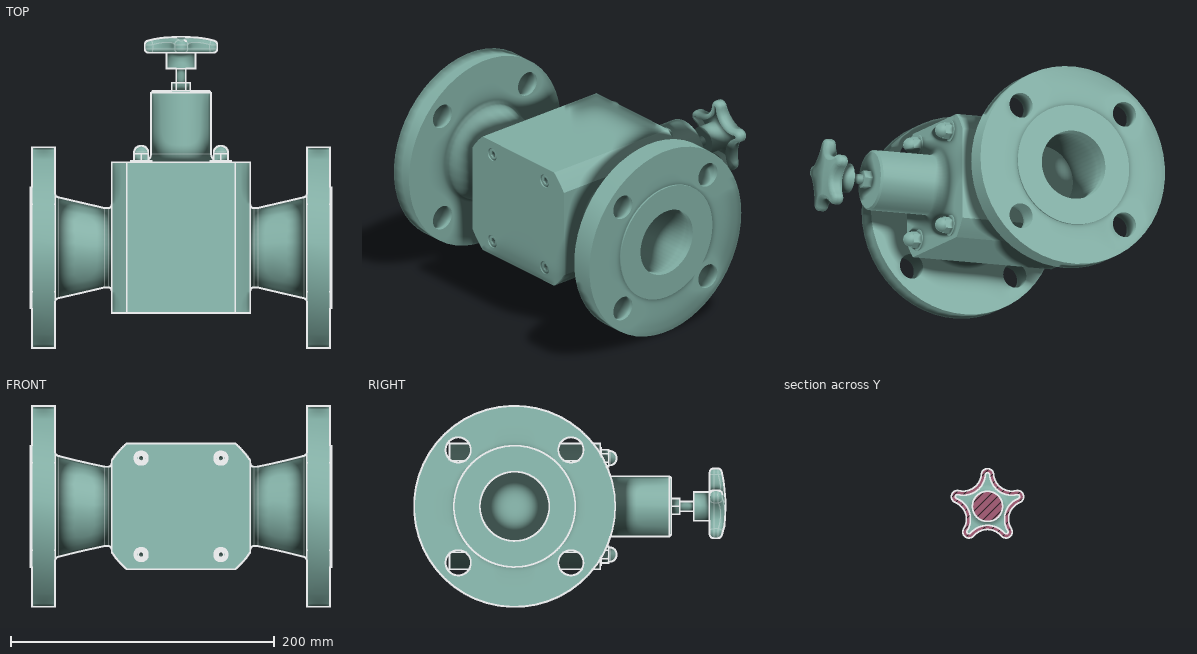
import cadquery as cq
import math


BODY_WIDTH = 105.2
BODY_HEIGHT = 95.25
BODY_CORNER_DIAMETER = 126.0
BODY_FRONT_Y = -49.4
BODY_BACK_Y = 64.9

FACE_TO_FACE = 228.6
FLANGE_DIAMETER = 152.4
FLANGE_TOTAL_THICKNESS = 19.05
RAISED_FACE_DIAMETER = 91.95
RAISED_FACE_HEIGHT = 1.5
BORE_DIAMETER = 52.5
PIPE_DIAMETER = 60.33
TAPER_BASE_DIAMETER = 77.7
TAPER_LENGTH = 37.3
PIPE_FILLET = 2.3
BOLT_CIRCLE_DIAMETER = 120.65
BOLT_HOLE_DIAMETER = 19.05
BOLT_HOLE_COUNT = 4

BONNET_DIAMETER = 45.72
BONNET_END_Y = 118.7
BONNET_CHAMFER = 1.5
BONNET_FILLET = 6.35
GLAND_NUT_FLATS = 12.2
GLAND_NUT_HEIGHT = 6.4
STEM_DIAMETER = 7.44
WHEEL_HUB_DIAMETER = 22.1
WHEEL_HUB_START_Y = 135.6

WHEEL_START_Y = 147.5
WHEEL_END_Y = 159.96
WHEEL_LOBES = 5
LOBE_CENTRE_RADIUS = 23.9
LOBE_RADIUS = 4.9
VALLEY_RADIUS = 17.7
WHEEL_CROWN_DROP = 3.8
WHEEL_LOWER_FILLET = 3.3
WHEEL_UPPER_FILLET = 3.3
RIM_WALL = 3.5
CAVITY_DEPTH = 5.5
HUB_FLARE = 5.0

SCREW_X = 30.16
SCREW_Z = 36.5
COUNTERBORE_DIAMETER = 10.3
HEAD_DIAMETER = 9.53
HEAD_FACE_DIAMETER = 7.44
HEAD_CHAMFER_HEIGHT = 0.6
HEAD_RECESS = 0.8
SOCKET_FLATS = 4.76
SOCKET_DEPTH = 3.0
SOCKET_DRILL_DIAMETER = 4.45
SOCKET_DRILL_TIP = 2.0
WASHER_DIAMETER = 15.88
WASHER_THICKNESS = 0.8
NUT_FLATS = 11.11
NUT_TOP_ABOVE_BODY = 6.2
NUT_COLLAR_HEIGHT = 1.4
DOME_HEIGHT = 4.8


def disc(y, diameter, height):
    """Cylinder along +Y starting at the given Y."""
    return cq.Workplane("XZ", origin=(0, y, 0)).circle(diameter / 2).extrude(-height)


def hexagon(y, flats, height):
    """Hexagonal prism along +Y, two of its corners on the X axis."""
    corners = flats / math.cos(math.pi / 6)
    return cq.Workplane("XZ", origin=(0, y, 0)).polygon(6, corners).extrude(-height)


def turned_hexagon(y, flats, height):
    """Hexagonal prism along +Y, two of its corners on the Z axis."""
    return hexagon(y, flats, height).rotate((0, 0, 0), (0, 1, 0), 90)


def at_screws(shape):
    """The shape repeated at the four screw positions."""
    copies = cq.Workplane("XY")
    for x in (-SCREW_X, SCREW_X):
        for z in (-SCREW_Z, SCREW_Z):
            copies = copies.add(shape.translate((x, 0, z)))
    return copies.combine()


def make_body():
    length = BODY_BACK_Y - BODY_FRONT_Y
    block = cq.Workplane("XZ", origin=(0, BODY_FRONT_Y, 0)).rect(BODY_WIDTH, BODY_HEIGHT).extrude(-length)
    return block.intersect(disc(BODY_FRONT_Y, BODY_CORNER_DIAMETER, length))


def make_pipe_end():
    """Weld-neck flange on the -X side, turned about the X axis."""
    face_x = -FACE_TO_FACE / 2
    rim_x = face_x + RAISED_FACE_HEIGHT
    flange_x = face_x + FLANGE_TOTAL_THICKNESS
    neck_x = flange_x + TAPER_LENGTH
    body_x = -BODY_WIDTH / 2
    pipe_radius = PIPE_DIAMETER / 2
    taper_radius = TAPER_BASE_DIAMETER / 2
    taper_slope = (taper_radius - pipe_radius) / TAPER_LENGTH
    profile = (
        cq.Workplane("XY")
        .moveTo(face_x, 0)
        .lineTo(face_x, RAISED_FACE_DIAMETER / 2)
        .lineTo(rim_x, RAISED_FACE_DIAMETER / 2)
        .lineTo(rim_x, FLANGE_DIAMETER / 2)
        .lineTo(flange_x, FLANGE_DIAMETER / 2)
        .lineTo(flange_x, taper_radius + PIPE_FILLET)
        .tangentArcPoint((flange_x + PIPE_FILLET, taper_radius - taper_slope * PIPE_FILLET), relative=False)
        .lineTo(neck_x, pipe_radius)
        .lineTo(body_x - PIPE_FILLET, pipe_radius)
        .tangentArcPoint((body_x, pipe_radius + PIPE_FILLET), relative=False)
        .lineTo(body_x, 0)
        .close()
    )
    end = profile.revolve(360, (0, 0, 0), (1, 0, 0))
    bolt_holes = (
        cq.Workplane("YZ", origin=(face_x, 0, 0))
        .polarArray(BOLT_CIRCLE_DIAMETER / 2, 180 / BOLT_HOLE_COUNT, 360, BOLT_HOLE_COUNT)
        .circle(BOLT_HOLE_DIAMETER / 2)
        .extrude(FLANGE_TOTAL_THICKNESS)
    )
    bore = cq.Workplane("YZ", origin=(face_x, 0, 0)).circle(BORE_DIAMETER / 2).extrude(body_x - face_x)
    return end.cut(bolt_holes).cut(bore)


def make_bonnet():
    radius = BONNET_DIAMETER / 2
    profile = (
        cq.Workplane("XY")
        .moveTo(0, BODY_BACK_Y)
        .lineTo(radius + BONNET_FILLET, BODY_BACK_Y)
        .radiusArc((radius, BODY_BACK_Y + BONNET_FILLET), BONNET_FILLET)
        .lineTo(radius, BONNET_END_Y - BONNET_CHAMFER)
        .lineTo(radius - BONNET_CHAMFER, BONNET_END_Y)
        .lineTo(0, BONNET_END_Y)
        .close()
    )
    bonnet = profile.revolve(360, (0, 0, 0), (0, 1, 0))
    gland_nut = hexagon(BONNET_END_Y, GLAND_NUT_FLATS, GLAND_NUT_HEIGHT)
    stem = disc(BONNET_END_Y, STEM_DIAMETER, WHEEL_HUB_START_Y - BONNET_END_Y)
    return bonnet.union(gland_nut).union(stem)


def polar(radius, angle):
    return (radius * math.sin(angle), radius * math.cos(angle))


def star(lobe_radius, valley_radius, height):
    """Star prism standing on the wheel's inner plane: round lobes joined by tangent hollows."""
    half_pitch = math.pi / WHEEL_LOBES
    chord = LOBE_CENTRE_RADIUS * math.cos(half_pitch)
    hollow_radius = (
        valley_radius**2 + LOBE_CENTRE_RADIUS**2 - 2 * valley_radius * chord - lobe_radius**2
    ) / (2 * (lobe_radius + chord - valley_radius))
    hollow_centre_radius = valley_radius + hollow_radius
    blend = lobe_radius / (lobe_radius + hollow_radius)
    along = LOBE_CENTRE_RADIUS + blend * (hollow_centre_radius * math.cos(half_pitch) - LOBE_CENTRE_RADIUS)
    across = blend * hollow_centre_radius * math.sin(half_pitch)
    tangent_radius = math.hypot(along, across)
    tangent_angle = math.atan2(across, along)

    outline = cq.Workplane("XZ", origin=(0, WHEEL_START_Y, 0)).moveTo(*polar(tangent_radius, -tangent_angle))
    for lobe in range(WHEEL_LOBES):
        middle = 2 * half_pitch * lobe
        tip = polar(LOBE_CENTRE_RADIUS + lobe_radius, middle)
        outline = outline.threePointArc(tip, polar(tangent_radius, middle + tangent_angle))
        valley = polar(valley_radius, middle + half_pitch)
        next_start = polar(tangent_radius, middle + 2 * half_pitch - tangent_angle)
        outline = outline.threePointArc(valley, next_start)
    return outline.close().extrude(-height)


def make_handwheel():
    """Star wheel, crowned on its outer side and hollowed around the hub on its inner side."""
    tip_radius = LOBE_CENTRE_RADIUS + LOBE_RADIUS
    crown_radius = (tip_radius**2 + WHEEL_CROWN_DROP**2) / (2 * WHEEL_CROWN_DROP)
    crown = cq.Workplane("XY").sphere(crown_radius).translate((0, WHEEL_END_Y - crown_radius, 0))
    wheel = star(LOBE_RADIUS, VALLEY_RADIUS, WHEEL_END_Y - WHEEL_START_Y).intersect(crown)
    wheel = wheel.faces("<Y").edges().fillet(WHEEL_LOWER_FILLET)
    wheel = wheel.faces(">Y").edges().fillet(WHEEL_UPPER_FILLET)
    cavity = star(LOBE_RADIUS - RIM_WALL, VALLEY_RADIUS - RIM_WALL, CAVITY_DEPTH)
    return wheel.cut(cavity)


def make_hub():
    """Handwheel hub, flaring inside the cavity where it meets the web."""
    radius = WHEEL_HUB_DIAMETER / 2
    web_y = WHEEL_START_Y + CAVITY_DEPTH
    return (
        cq.Workplane("XY")
        .moveTo(0, WHEEL_HUB_START_Y)
        .lineTo(radius, WHEEL_HUB_START_Y)
        .lineTo(radius, web_y - HUB_FLARE)
        .radiusArc((radius + HUB_FLARE, web_y), HUB_FLARE)
        .lineTo(0, web_y)
        .close()
        .revolve(360, (0, 0, 0), (0, 1, 0))
    )


def make_dome_nut():
    nut_top = BODY_BACK_Y + NUT_TOP_ABOVE_BODY
    dome_y = nut_top + NUT_COLLAR_HEIGHT
    nut_radius = NUT_FLATS / 2
    dome_radius = (nut_radius**2 + DOME_HEIGHT**2) / (2 * DOME_HEIGHT)
    washer = disc(BODY_BACK_Y, WASHER_DIAMETER, WASHER_THICKNESS)
    nut = turned_hexagon(BODY_BACK_Y, NUT_FLATS, NUT_TOP_ABOVE_BODY)
    cap = (
        cq.Workplane("XY")
        .moveTo(0, nut_top)
        .lineTo(nut_radius, nut_top)
        .lineTo(nut_radius, dome_y)
        .radiusArc((0, dome_y + DOME_HEIGHT), -dome_radius)
        .close()
        .revolve(360, (0, 0, 0), (0, 1, 0))
    )
    return washer.union(nut).union(cap)


def make_screw_cut():
    """Material removed at one screw: the counterbore round the head and the hexagon socket."""
    head_y = BODY_FRONT_Y + HEAD_RECESS
    bevel = (HEAD_DIAMETER - HEAD_FACE_DIAMETER) / 2
    head = disc(head_y, HEAD_DIAMETER, HEAD_CHAMFER_HEIGHT * 2)
    head = head.faces("<Y").chamfer(HEAD_CHAMFER_HEIGHT, bevel)
    recess = disc(BODY_FRONT_Y, COUNTERBORE_DIAMETER, HEAD_RECESS + HEAD_CHAMFER_HEIGHT).cut(head)
    socket = turned_hexagon(head_y, SOCKET_FLATS, SOCKET_DEPTH)
    socket_floor = cq.Vector(0, head_y + SOCKET_DEPTH, 0)
    drill_tip = cq.Solid.makeCone(
        SOCKET_DRILL_DIAMETER / 2, 0, SOCKET_DRILL_TIP, socket_floor, cq.Vector(0, 1, 0)
    )
    return recess.union(socket.union(cq.Workplane(drill_tip)))


pipe_end = make_pipe_end()
result = make_body().cut(at_screws(make_screw_cut()))
result = result.union(pipe_end).union(pipe_end.mirror("YZ"))
result = result.union(make_bonnet()).union(make_hub()).union(make_handwheel())
result = result.union(at_screws(make_dome_nut()))